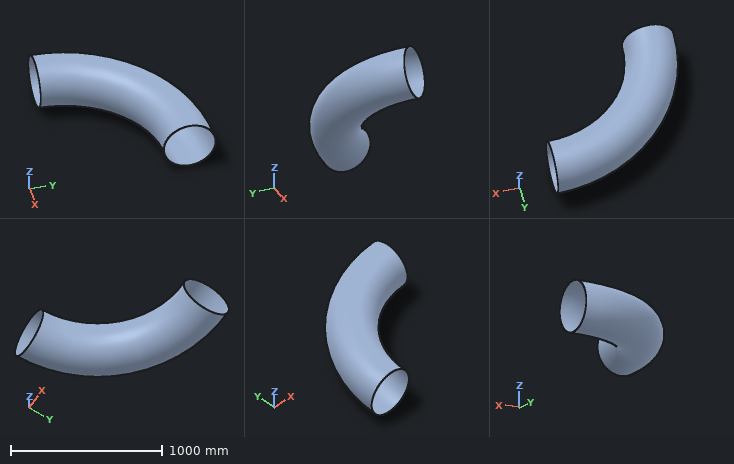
import cadquery as cq

overall_size = 1028.0
outer_diameter = 356.0
wall_thickness = 3.0
bend_angle = 90.0

outer_radius = outer_diameter / 2
inner_radius = outer_radius - wall_thickness
bend_radius = overall_size - outer_radius

pipe_section = (
    cq.Workplane("XZ")
    .moveTo(-bend_radius, 0)
    .circle(outer_radius)
    .circle(inner_radius)
)

bend_axis_start = (0, 0, 0)
bend_axis_end = (0, -1, 0)
result = pipe_section.revolve(bend_angle, bend_axis_start, bend_axis_end)